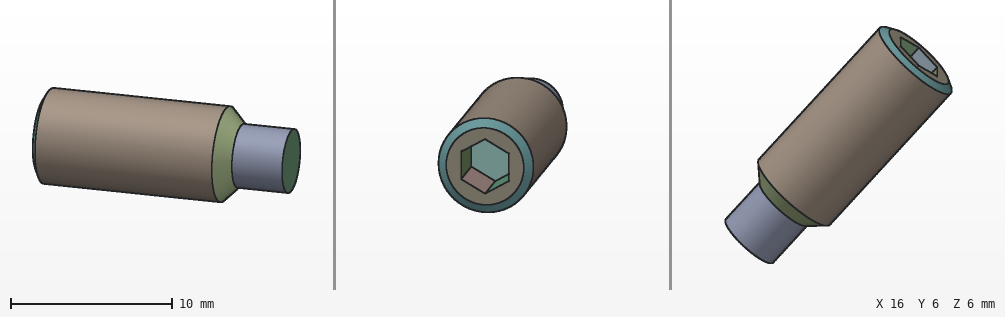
import cadquery as cq

length = 16.0
body_diameter = 6.0
point_diameter = 4.0
point_length = 3.25
socket_end_diameter = 4.9
socket_end_chamfer_length = 0.32
socket_across_flats = 3.0
socket_depth = 3.52

body_radius = body_diameter / 2
point_radius = point_diameter / 2
socket_end_radius = socket_end_diameter / 2

point_start = length - point_length
shoulder_start = point_start - (body_radius - point_radius)


def make_body():
    """Revolve the half profile about the X axis."""
    return (
        cq.Workplane("XY")
        .moveTo(0, 0)
        .lineTo(0, socket_end_radius)
        .lineTo(socket_end_chamfer_length, body_radius)
        .lineTo(shoulder_start, body_radius)
        .lineTo(point_start, point_radius)
        .lineTo(length, point_radius)
        .lineTo(length, 0)
        .close()
        .revolve(360, (0, 0, 0), (1, 0, 0))
    )


def make_socket():
    """Flat-bottomed hexagon with corners at the top and bottom."""
    return (
        cq.Workplane("YZ")
        .polygon(6, socket_across_flats, circumscribed=True)
        .extrude(socket_depth)
    )


result = make_body().cut(make_socket())